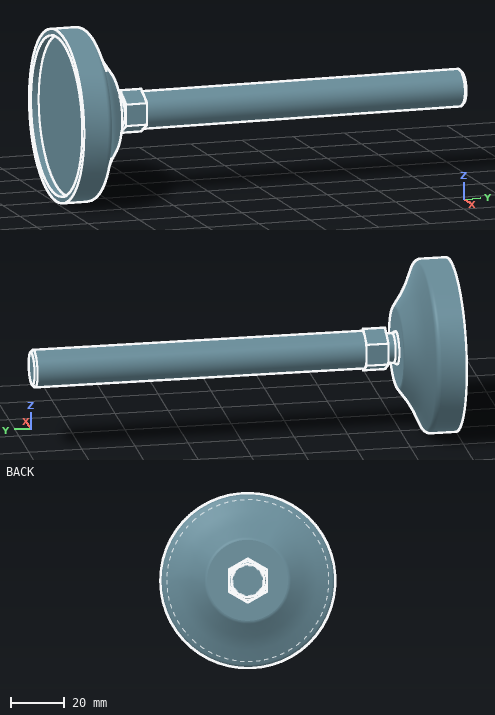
import cadquery as cq
import math

foot_diameter = 65.0
rim_height = 9.5
shoulder_radius = 2.0
shoulder_height = 11.4
foot_height = 20.5
foot_top_diameter = 30.0
top_edge_drop = 0.5
top_edge_width = 1.1
top_edge_bulge = 0.1
flank_sag = 0.6
recess_diameter = 60.0
recess_depth = 3.0

neck_diameter = 11.0
flare_height = 1.3
flare_width = 0.6
hex_start = 24.8
hex_length = 8.2
rod_diameter = 14.0
rod_chamfer = 1.0
total_length = 158.0


def revolve_about_y(profile):
    return profile.close().revolve(360, (0, 0, 0), (0, 1, 0))


def make_foot():
    foot_radius = foot_diameter / 2
    top_radius = foot_top_diameter / 2

    rise = shoulder_height - rim_height
    shoulder_inset = shoulder_radius - math.sqrt(shoulder_radius**2 - rise**2)
    flank_bottom = (foot_radius - shoulder_inset, shoulder_height)
    flank_top = (top_radius + top_edge_width, foot_height - top_edge_drop)

    foot = revolve_about_y(
        cq.Workplane("XY")
        .lineTo(foot_radius, 0)
        .lineTo(foot_radius, rim_height)
        .tangentArcPoint(flank_bottom, relative=False)
        .sagittaArc(flank_top, flank_sag)
        .sagittaArc((top_radius, foot_height), -top_edge_bulge)
        .lineTo(0, foot_height)
    )
    recess = cq.Workplane("XZ").circle(recess_diameter / 2).extrude(-recess_depth)
    return foot.cut(recess)


def make_spindle():
    neck_radius = neck_diameter / 2
    rod_radius = rod_diameter / 2
    hex_end = hex_start + hex_length

    shaft = revolve_about_y(
        cq.Workplane("XY")
        .moveTo(0, foot_height)
        .lineTo(neck_radius + flare_width, foot_height)
        .lineTo(neck_radius, foot_height + flare_height)
        .lineTo(neck_radius, hex_end)
        .lineTo(rod_radius, hex_end)
        .lineTo(rod_radius, total_length - rod_chamfer)
        .lineTo(rod_radius - rod_chamfer, total_length)
        .lineTo(0, total_length)
    )

    hexagon = (
        cq.Workplane("XZ", origin=(0, hex_start, 0))
        .polygon(6, rod_diameter, circumscribed=True)
        .extrude(-hex_length)
    )
    return shaft.union(hexagon)


foot_and_spindle = make_foot().union(make_spindle())

result = foot_and_spindle.translate((0, -total_length / 2, 0))